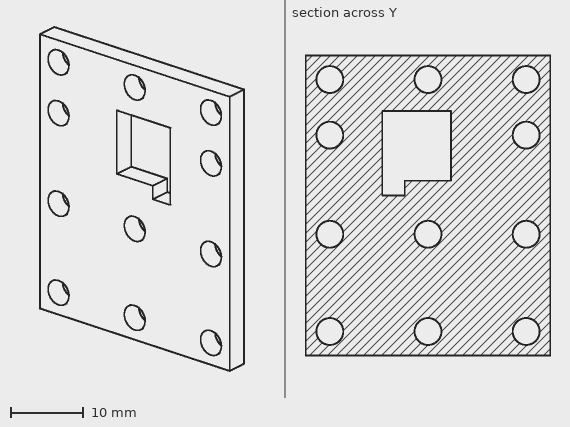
import cadquery as cq

INCH = 25.4

WIDTH = 1.32 * INCH
HEIGHT = 1.62 * INCH
THICKNESS = 0.125 * INCH

HOLE_DIAMETER = 0.144 * INCH
EDGE_MARGIN = 0.13 * INCH
SIDE_X = WIDTH / 2 - EDGE_MARGIN
END_Z = HEIGHT / 2 - EDGE_MARGIN
UPPER_ROW_Z = 0.38 * INCH
LOWER_ROW_Z = -0.155 * INCH

FULL_ROW = (-SIDE_X, 0, SIDE_X)
SIDES_ONLY = (-SIDE_X, SIDE_X)
HOLE_ROWS = (
    (END_Z, FULL_ROW),
    (UPPER_ROW_Z, SIDES_ONLY),
    (LOWER_ROW_Z, FULL_ROW),
    (-END_Z, FULL_ROW),
)

WINDOW_LEFT = -0.124 * INCH
WINDOW_RIGHT = 0.246 * INCH
WINDOW_TOP = 0.51 * INCH
WINDOW_BOTTOM = 0.135 * INCH
NOTCH_WIDTH = 0.12 * INCH
NOTCH_DEPTH = 0.08 * INCH


def make_plate():
    return cq.Workplane("XY").box(WIDTH, THICKNESS, HEIGHT)


def make_holes():
    centers = [(x, z) for z, row in HOLE_ROWS for x in row]
    sketch = cq.Workplane("XZ").pushPoints(centers).circle(HOLE_DIAMETER / 2)
    return sketch.extrude(THICKNESS, both=True)


def make_window():
    notch_left = WINDOW_RIGHT - NOTCH_WIDTH
    notch_bottom = WINDOW_BOTTOM - NOTCH_DEPTH
    outline = [
        (WINDOW_LEFT, WINDOW_TOP),
        (WINDOW_RIGHT, WINDOW_TOP),
        (WINDOW_RIGHT, notch_bottom),
        (notch_left, notch_bottom),
        (notch_left, WINDOW_BOTTOM),
        (WINDOW_LEFT, WINDOW_BOTTOM),
    ]
    return cq.Workplane("XZ").polyline(outline).close().extrude(THICKNESS, both=True)


result = make_plate().cut(make_holes()).cut(make_window())